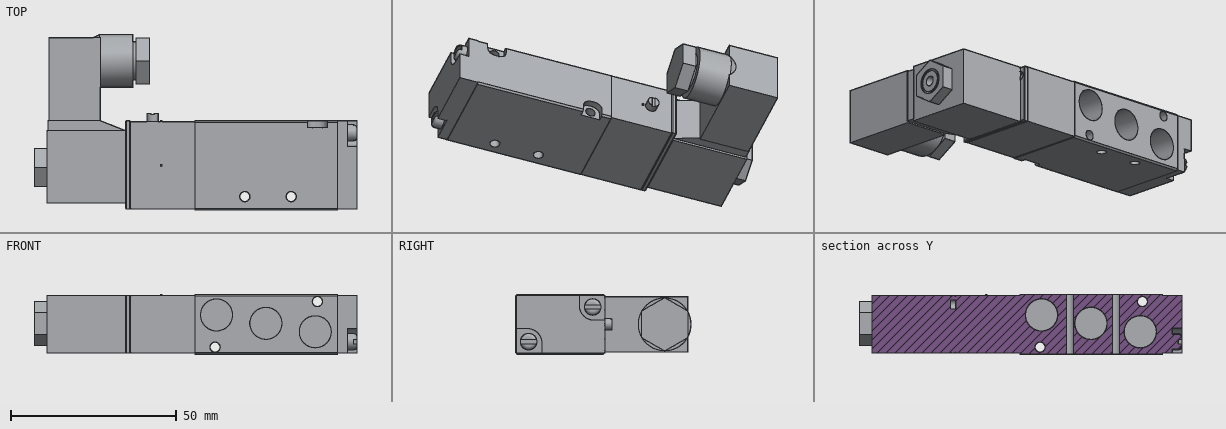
import cadquery as cq


NUT_START = 0.0
COIL_START = 3.8
GASKET_START = 27.6
PILOT_START = 29.1
BODY_START = 48.6
CAP_START = 91.8
CAP_END = 97.7

BODY_WIDTH = 27.1
BODY_HEIGHT = 18.15
BODY_CHAMFER = 0.55
PORT_DIAMETER = 9.7
PORT_DEPTH = 12.0
PORT_CENTER_X = 70.1
PORT_PITCH = 14.95
PORT_DROP = 2.55
PORT_CENTER_Z = 0.3
MOUNT_HOLE_DIAMETER = 3.0
SIDE_MOUNT_X = 70.2
SIDE_MOUNT_HALF_SPAN = 15.5
SIDE_MOUNT_Z = 6.9
TOP_MOUNT_X = (63.7, 77.75)
TOP_MOUNT_Y = 4.1
NOTCH_WIDTH = 6.0
NOTCH_RADIUS = 2.5
NOTCH_DEPTH = 2.1

BLOCK_HEIGHT = 17.5
PILOT_Y_MIN = 0.3
PILOT_Y_MAX = 26.85
CAP_Y_MAX = BODY_WIDTH
GASKET_CHAMFER = 0.3
GASKET_HOLE_DIAMETER = 2.8
GASKET_HOLE_Y = 2.35
GASKET_HOLE_Z = 6.0
BUTTON_X = 35.8
BUTTON_DIAMETER = 3.5
BUTTON_TOP_Y = 29.3
BUTTON_SLOT_WIDTH = 0.9
BUTTON_SLOT_DEPTH = 0.3
PIN_X = 38.4
PIN_Y = 13.6
PIN_DIAMETER = 0.6

SCREW_INSET_Y = 3.7
SCREW_INSET_Z = 3.5
SCREW_POCKET_WIDTH = 7.75
SCREW_POCKET_HEIGHT = 7.5
SCREW_POCKET_RADIUS = 4.5
SCREW_HEAD_DIAMETER = 5.0
SCREW_HEAD_HEIGHT = 2.9
SCREW_DOME_RADIUS = 1.1
SCREW_SLOT_DEPTH = 1.1
SCREW_SLOT_WIDTH = 1.3

COIL_Y_MIN = 2.1
COIL_Y_MAX = 24.1
COIL_NUT_Y = 12.95
COIL_NUT_Z = 0.25
COIL_NUT_FLATS = 11.6
COIL_NUT_BORE = 3.0
COIL_NUT_BORE_DEPTH = 3.0
NUT_RING_OUTER = 7.7
NUT_RING_INNER = 6.6
NUT_RING_DEPTH = 0.2

NECK_START = 4.1
NECK_HEIGHT = 15.9
CONNECTOR_START = 4.35
CONNECTOR_END = 20.0
CONNECTOR_Y_MAX = 52.25
CONNECTOR_HEIGHT = 16.8
GLAND_DIAMETER = 16.0
GLAND_Y_MAX = 53.2
GLAND_Y = GLAND_Y_MAX - GLAND_DIAMETER / 2
GLAND_START = 17.2
GLAND_TAPER_LENGTH = 2.5
GLAND_TAPER_DEPTH = 1.25
GLAND_END = 29.8
GLAND_NECK_DIAMETER = 11.7
GLAND_NUT_START = 30.75
GLAND_NUT_END = 34.9
GLAND_NUT_FLATS = 14.0

HEX_CORNER_RATIO = 2 / 3 ** 0.5


def block(x_min, x_max, y_min, y_max, height):
    """Box centred on the valve mid-plane."""
    box = cq.Workplane("XY").box(x_max - x_min, y_max - y_min, height, centered=(False, False, True))
    return box.translate((x_min, y_min, 0))


def rod_x(x_min, x_max, y, z, diameter):
    """Cylinder lying along X."""
    return cq.Workplane("YZ", origin=(x_min, y, z)).circle(diameter / 2).extrude(x_max - x_min)


def rod_y(x, y_min, y_max, z, diameter):
    """Cylinder lying along Y."""
    return cq.Workplane("XZ", origin=(x, y_min, z)).circle(diameter / 2).extrude(y_min - y_max)


def hex_x(x_min, x_max, y, z, across_flats):
    """Hexagonal nut along X with corners pointing up and down."""
    corners = across_flats * HEX_CORNER_RATIO
    hexagon = cq.Workplane("YZ", origin=(x_min, y, z)).transformed(rotate=(0, 0, 90)).polygon(6, corners)
    return hexagon.extrude(x_max - x_min)


def mount_notch(x, side):
    """Round-bottomed notch around a side mounting hole, open to the top (side 1) or bottom (side -1)."""
    floor = SIDE_MOUNT_Z - NOTCH_RADIUS
    notch = block(x - NOTCH_WIDTH / 2, x + NOTCH_WIDTH / 2, BODY_WIDTH - NOTCH_DEPTH, BODY_WIDTH, BODY_HEIGHT)
    notch = notch.translate((0, 0, side * (floor + BODY_HEIGHT / 2)))
    inner_edges = "<Z" if side > 0 else ">Z"
    return notch.faces(inner_edges).edges("|Y").fillet(NOTCH_RADIUS)


def make_body():
    """Valve body with three ports, notched side mounting holes and top mounting holes."""
    body = block(BODY_START, CAP_START, 0, BODY_WIDTH, BODY_HEIGHT).edges("|X").chamfer(BODY_CHAMFER)
    for step in (-1, 0, 1):
        port_x = PORT_CENTER_X + step * PORT_PITCH
        port_z = PORT_CENTER_Z - step * PORT_DROP
        body = body.cut(rod_y(port_x, 0, PORT_DEPTH, port_z, PORT_DIAMETER))
    for side in (-1, 1):
        hole_x = SIDE_MOUNT_X + side * SIDE_MOUNT_HALF_SPAN
        body = body.cut(rod_y(hole_x, 0, BODY_WIDTH, side * SIDE_MOUNT_Z, MOUNT_HOLE_DIAMETER))
        body = body.cut(mount_notch(hole_x, side))
    for hole_x in TOP_MOUNT_X:
        hole = cq.Workplane("XY").circle(MOUNT_HOLE_DIAMETER / 2).extrude(BODY_HEIGHT / 2, both=True)
        body = body.cut(hole.translate((hole_x, TOP_MOUNT_Y, 0)))
    return body


def make_pilot():
    """Pilot block with a slotted manual button and two small pins level with the body faces."""
    pilot = block(PILOT_START, BODY_START, PILOT_Y_MIN, PILOT_Y_MAX, BLOCK_HEIGHT)
    button = rod_y(BUTTON_X, PILOT_Y_MAX, BUTTON_TOP_Y, 0, BUTTON_DIAMETER)
    slot = block(
        BUTTON_X - BUTTON_SLOT_WIDTH / 2,
        BUTTON_X + BUTTON_SLOT_WIDTH / 2,
        BUTTON_TOP_Y - BUTTON_SLOT_DEPTH,
        BUTTON_TOP_Y,
        BUTTON_DIAMETER,
    )
    top_pin = cq.Workplane("XY").circle(PIN_DIAMETER / 2).extrude(BODY_HEIGHT / 2)
    back_pin = rod_y(PIN_X, PIN_Y, BODY_WIDTH, 0, PIN_DIAMETER)
    pilot = pilot.union(button.cut(slot)).union(back_pin)
    return pilot.union(top_pin.translate((PIN_X, PIN_Y, 0)))


def make_gasket():
    """Chamfered gasket plate between the coil and the pilot block."""
    gasket = block(GASKET_START, PILOT_START, PILOT_Y_MIN, BODY_WIDTH, BLOCK_HEIGHT)
    gasket = gasket.faces("<X or >X").edges().chamfer(GASKET_CHAMFER)
    return gasket.cut(rod_x(GASKET_START, PILOT_START, GASKET_HOLE_Y, GASKET_HOLE_Z, GASKET_HOLE_DIAMETER))


def make_cap():
    """End cap with slotted screws in two diagonally opposite corner pockets."""
    cap = block(CAP_START, CAP_END, PILOT_Y_MIN, CAP_Y_MAX, BLOCK_HEIGHT)
    mid_y = (PILOT_Y_MIN + CAP_Y_MAX) / 2
    half_width = (CAP_Y_MAX - PILOT_Y_MIN) / 2
    seat_x = CAP_END - SCREW_HEAD_HEIGHT
    pocket = (
        cq.Workplane("YZ", origin=(seat_x, half_width, BLOCK_HEIGHT / 2))
        .rect(2 * SCREW_POCKET_WIDTH, 2 * SCREW_POCKET_HEIGHT)
        .extrude(SCREW_HEAD_HEIGHT)
        .edges("|X")
        .fillet(SCREW_POCKET_RADIUS)
    )
    screw_y = half_width - SCREW_INSET_Y
    screw_z = BLOCK_HEIGHT / 2 - SCREW_INSET_Z
    screw = rod_x(seat_x, CAP_END, screw_y, screw_z, SCREW_HEAD_DIAMETER)
    screw = screw.faces(">X").edges().fillet(SCREW_DOME_RADIUS)
    slot = cq.Workplane("XY").box(2 * SCREW_SLOT_DEPTH, SCREW_HEAD_DIAMETER, SCREW_SLOT_WIDTH)
    screw = screw.cut(slot.translate((CAP_END, screw_y, screw_z)))
    for angle in (0, 180):
        cap = cap.cut(pocket.rotate((0, 0, 0), (1, 0, 0), angle).translate((0, mid_y, 0)))
        cap = cap.union(screw.rotate((0, 0, 0), (1, 0, 0), angle).translate((0, mid_y, 0)))
    return cap


def make_coil():
    """Coil block and its hexagonal nut with a shallow ring groove and a blind bore."""
    coil = block(COIL_START, GASKET_START, COIL_Y_MIN, COIL_Y_MAX, BLOCK_HEIGHT)
    nut = hex_x(NUT_START, COIL_START, COIL_NUT_Y, COIL_NUT_Z, COIL_NUT_FLATS)
    ring = rod_x(NUT_START, NUT_RING_DEPTH, COIL_NUT_Y, COIL_NUT_Z, NUT_RING_OUTER)
    ring = ring.cut(rod_x(NUT_START, NUT_RING_DEPTH, COIL_NUT_Y, COIL_NUT_Z, NUT_RING_INNER))
    bore = rod_x(NUT_START, COIL_NUT_BORE_DEPTH, COIL_NUT_Y, COIL_NUT_Z, COIL_NUT_BORE)
    return coil.union(nut.cut(ring).cut(bore))


def make_connector():
    """Sloped neck on the coil side, connector housing and its cable gland."""
    neck = (
        cq.Workplane("XY")
        .moveTo(NECK_START, COIL_Y_MAX)
        .lineTo(NECK_START, BODY_WIDTH)
        .lineTo(CONNECTOR_END, BODY_WIDTH)
        .lineTo(GASKET_START, COIL_Y_MAX)
        .close()
        .extrude(NECK_HEIGHT / 2, both=True)
    )
    housing = block(CONNECTOR_START, CONNECTOR_END, BODY_WIDTH, CONNECTOR_Y_MAX, CONNECTOR_HEIGHT)
    gland = rod_x(GLAND_START, GLAND_END, GLAND_Y, 0, GLAND_DIAMETER)
    gland = gland.faces("<X").chamfer(GLAND_TAPER_LENGTH, GLAND_TAPER_DEPTH)
    gland_neck = rod_x(GLAND_END, GLAND_NUT_START, GLAND_Y, 0, GLAND_NECK_DIAMETER)
    gland_nut = hex_x(GLAND_NUT_START, GLAND_NUT_END, GLAND_Y, 0, GLAND_NUT_FLATS)
    return neck.union(housing).union(gland).union(gland_neck).union(gland_nut)


result = (
    make_body()
    .union(make_pilot())
    .union(make_gasket())
    .union(make_cap())
    .union(make_coil())
    .union(make_connector())
)